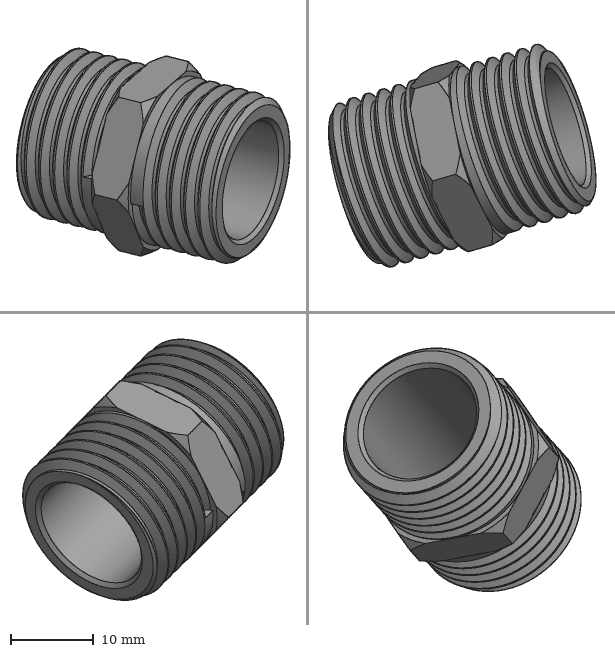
import cadquery as cq
import math

length = 27.4
bore_radius = 7.4
bore_chamfer = 0.5

hex_across_flats = 21.0
hex_width = 5.05
hex_corner_chamfer = 1.01

major_radius = hex_across_flats / 2
minor_radius = 9.4
end_chamfer = 1.01
pitch = 1.95
root_width = 0.45
flank_angle = 30.0
groove_turns = 6
groove_stop_gap = 0.65
groove_stop_angle = 84.5
cutter_overshoot = 0.15

hex_face_x = hex_width / 2
spigot_length = length / 2 - hex_face_x


def make_hexagon():
    """Hexagonal collar with corners on +-Y, bevelled at 45 degrees by cones."""
    corner_radius = hex_across_flats / math.sqrt(3)
    prism = (
        cq.Workplane("YZ")
        .workplane(offset=-hex_face_x)
        .polygon(6, 2 * corner_radius)
        .extrude(hex_width)
    )
    bevelled_disc = (
        cq.Workplane("YZ")
        .workplane(offset=-hex_face_x)
        .circle(corner_radius)
        .extrude(hex_width)
        .edges()
        .chamfer(hex_corner_chamfer)
    )
    return prism.intersect(bevelled_disc)


def make_groove():
    """Trapezoidal helical cutter for the thread on the -X end."""
    top_radius = major_radius + cutter_overshoot
    half_root = root_width / 2
    half_top = half_root + (top_radius - minor_radius) * math.tan(math.radians(flank_angle))
    height = groove_turns * pitch
    helix = cq.Wire.makeHelix(pitch, height, minor_radius)
    cutter = (
        cq.Workplane("XZ")
        .polyline([
            (minor_radius, -half_root),
            (top_radius, -half_top),
            (top_radius, half_top),
            (minor_radius, half_root),
        ])
        .close()
        .sweep(cq.Workplane(obj=helix), isFrenet=True)
    )
    along_x = cutter.rotate((0, 0, 0), (0, 1, 0), 90)
    turned = along_x.rotate((0, 0, 0), (1, 0, 0), 180 + groove_stop_angle)
    return turned.translate((-hex_face_x - groove_stop_gap - height, 0, 0))


def make_spigot():
    """Threaded cylinder on the -X side of the hexagon."""
    blank = (
        cq.Workplane("YZ")
        .workplane(offset=-length / 2)
        .circle(major_radius)
        .extrude(spigot_length)
        .faces("<X")
        .chamfer(end_chamfer)
    )
    return blank.cut(make_groove())


def make_bore():
    """Through bore with a countersink at each end."""
    bore = cq.Workplane("YZ").workplane(offset=-length / 2).circle(bore_radius).extrude(length)
    for end in (-1, 1):
        countersink = cq.Solid.makeCone(
            bore_radius + bore_chamfer,
            bore_radius,
            bore_chamfer,
            pnt=cq.Vector(end * length / 2, 0, 0),
            dir=cq.Vector(-end, 0, 0),
        )
        bore = bore.union(cq.Workplane(obj=countersink))
    return bore


left_spigot = make_spigot()
right_spigot = left_spigot.rotate((0, 0, 0), (0, 1, 0), 180)
body = make_hexagon().union(left_spigot).union(right_spigot)
result = body.cut(make_bore())